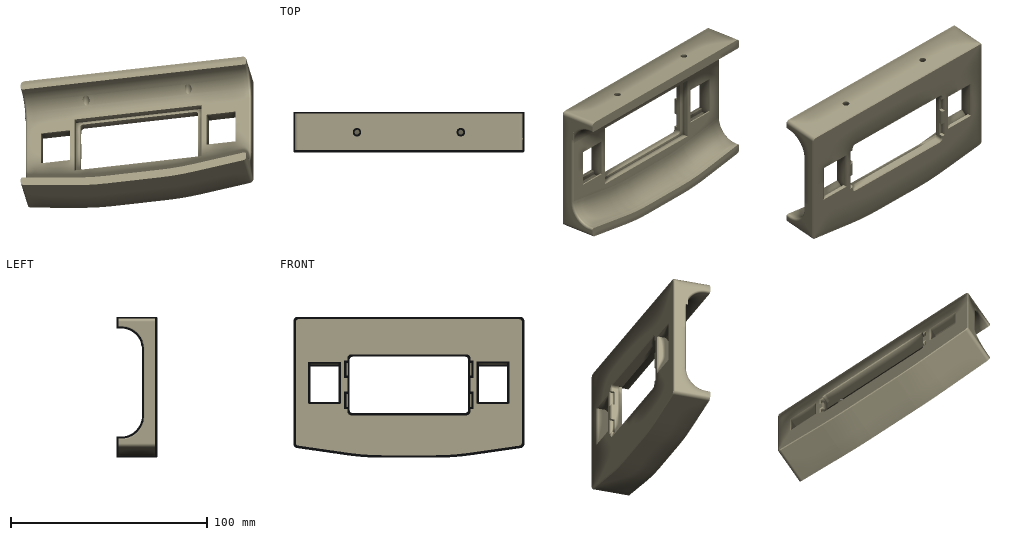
import cadquery as cq

overall_length = 117.0
button_height = 0.1
width = overall_length - button_height
depth = 20.0
height = 71.0
corner_radius = 2.0
rim_chamfer = 0.5

flat_half_width = 22.6
end_rise = 5.1
slope_blend_radius = 122.8

panel_thickness = 7.0
top_wall = 5.1
bottom_wall = 4.9
channel_radius = 11.0
channel_end_radius = 1.0

display_width = 61.1
display_height = 29.4
display_centre_z = 36.7
display_radius = 1.5
notch_length = 7.3
notch_reach = 1.6
notch_depth = 2.0
notch_offset_z = 8.0

display_wall = 4.0
pocket_margin_x = 2.3
pocket_margin_z = 1.5

jack_offset_x = 42.9
jack_width = 15.1
jack_bottom_z = 27.5
jack_rear_top_z = 46.5
left_jack_front_top_z = 48.0
right_jack_front_top_z = 48.3
latch_ledge = 2.0
latch_drop = 2.0
latch_slope_start = 3.9
latch_lip = 0.7

screw_diameter = 3.4
screw_offset_x = 26.5

button_length_y = 1.5
button_length_z = 4.3
button_centre_y = 6.9
button_centre_z = 59.2


def block(size_x, size_y, size_z, x, y, z):
    """Box centred on x and z, reaching backwards from y."""
    return cq.Workplane("XY").box(size_x, size_y, size_z, centered=(True, False, True)).translate((x, y, z))


def bowed_prism(bottom_z, top_z, front_y):
    """Full-width prism with the bowed lower edge, reaching from front_y to the back."""
    half = width / 2
    outline = [
        (-half, top_z),
        (half, top_z),
        (half, bottom_z + end_rise),
        (flat_half_width, bottom_z),
        (-flat_half_width, bottom_z),
        (-half, bottom_z + end_rise),
    ]
    prism = cq.Workplane("XZ", origin=(0, front_y, 0)).polyline(outline).close().extrude(front_y - depth)
    return prism.edges("|Y").edges("<Z").fillet(slope_blend_radius)


def make_blank():
    blank = bowed_prism(0, height, 0)
    return blank.edges("|Y").edges("<X or >X").fillet(corner_radius)


def cut_channel(body):
    channel = bowed_prism(bottom_wall, height - top_wall, panel_thickness)
    channel = channel.faces("<Y").edges("not |Z").fillet(channel_radius)
    body = body.cut(channel)
    channel_edges = cq.selectors.BoxSelector(
        (-width, rim_chamfer, end_rise + bottom_wall / 2),
        (width, depth - rim_chamfer, height - top_wall / 2),
    )
    return body.faces("<X or >X").edges(channel_edges).fillet(channel_end_radius)


def cut_display(body):
    opening = block(display_width, panel_thickness, display_height, 0, 0, display_centre_z)
    opening = opening.edges("|Y").fillet(display_radius)
    notch_span = display_width + 2 * notch_reach
    for side in (-1, 1):
        notch_z = display_centre_z + side * notch_offset_z
        opening = opening.union(block(notch_span, notch_depth, notch_length, 0, 0, notch_z))
    pocket = block(
        display_width + 2 * pocket_margin_x,
        panel_thickness - display_wall,
        display_height + 2 * pocket_margin_z,
        0,
        display_wall,
        display_centre_z,
    )
    return body.cut(opening).cut(pocket)


def jack_cutter(x, front_top_z):
    latch_slope_end = panel_thickness - latch_lip
    latch_floor_z = jack_bottom_z - latch_drop
    ceiling_slope_start = latch_slope_end - (front_top_z - jack_rear_top_z)
    side_profile = [
        (0, front_top_z),
        (0, jack_bottom_z),
        (latch_ledge, jack_bottom_z),
        (latch_ledge, latch_floor_z),
        (latch_slope_start, latch_floor_z),
        (latch_slope_end, jack_bottom_z),
        (panel_thickness, jack_bottom_z),
        (panel_thickness, jack_rear_top_z),
        (latch_slope_end, jack_rear_top_z),
        (ceiling_slope_start, front_top_z),
    ]
    inner = jack_width / 2
    outer = inner + rim_chamfer
    plan_profile = [
        (-outer, 0),
        (outer, 0),
        (inner, rim_chamfer),
        (inner, panel_thickness),
        (-inner, panel_thickness),
        (-inner, rim_chamfer),
    ]
    profile_prism = cq.Workplane("YZ").polyline(side_profile).close().extrude(outer, both=True)
    plan_prism = cq.Workplane("XY").polyline(plan_profile).close().extrude(height)
    return profile_prism.intersect(plan_prism).translate((x, 0, 0))


def screw_holes():
    return (
        cq.Workplane("XY", origin=(0, depth / 2, height / 2))
        .pushPoints([(-screw_offset_x, 0), (screw_offset_x, 0)])
        .circle(screw_diameter / 2)
        .extrude(height / 2)
    )


def end_button():
    """Button whose inner half is sunk into the +X end face."""
    front_y = button_centre_y - button_length_y / 2
    return block(2 * button_height, button_length_y, button_length_z, width / 2, front_y, button_centre_z)


body = cut_channel(make_blank())
body = cut_display(body)
body = body.faces("<Y").edges().chamfer(rim_chamfer)
body = body.cut(jack_cutter(-jack_offset_x, left_jack_front_top_z))
body = body.cut(jack_cutter(jack_offset_x, right_jack_front_top_z))
body = body.cut(screw_holes())
result = body.union(end_button())